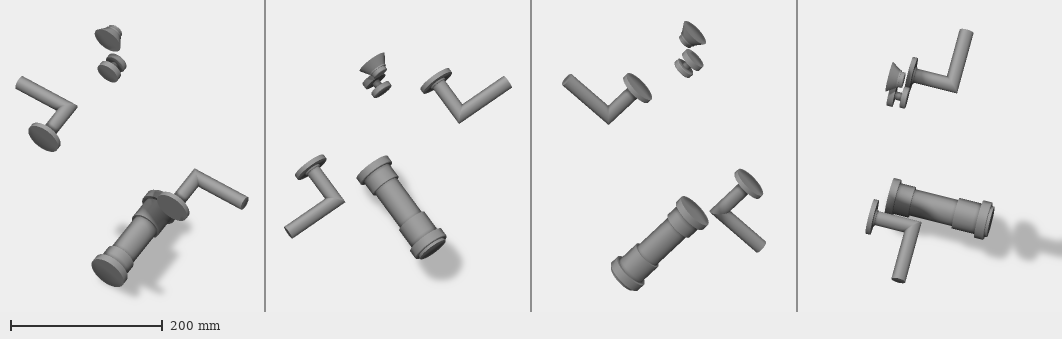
import cadquery as cq

INCH = 25.4

HANDLE_X = 4 * INCH
HANDLE_Z = 0.0
KNOB_Z = 12 * INCH
DIVERTER_Z = 9 * INCH
SPOUT_Z = -9 * INCH

LEVER_REACH = 7 * INCH
ROD_DIAMETER = 0.75 * INCH
ROD_AXIS_Y = 58.8
STEM_JOINT_Y = 44.0
ROSE_DIAMETER = 1.85 * INCH
ROSE_THICKNESS = 6.35
HANDLE_COLLAR_DIAMETER = 0.9 * INCH
HANDLE_COLLAR_END = 9.1

BEVEL = 0.8

SPOUT_FLANGE_DIAMETER = 2 * INCH
SPOUT_COLLAR_DIAMETER = 41.5
SPOUT_TUBE_DIAMETER = 1.4 * INCH
SPOUT_STEPS = [
    (SPOUT_FLANGE_DIAMETER, 10.4, 0, BEVEL),
    (SPOUT_COLLAR_DIAMETER, 31.5, 0, BEVEL),
    (SPOUT_TUBE_DIAMETER, 90.5, 0, 0),
    (SPOUT_COLLAR_DIAMETER, 122.0, 0, 0),
    (SPOUT_FLANGE_DIAMETER, 134.6, 0, BEVEL),
    (SPOUT_COLLAR_DIAMETER, 138.3, 0, 0),
]

DIVERTER_STEPS = [
    (1.25 * INCH, 8.0, 0, 0),
    (11.0, 17.2, 0, 0),
    (28.5, 24.7, BEVEL, BEVEL),
]

KNOB_DIAMETER = 1.6 * INCH
CONE_END_DIAMETER = 24.5
CONE_LENGTH = 12.2
BAND_END = 14.0
NECK_DIAMETER = 21.0
KNOB_LENGTH = 19.8


def revolve_about_y(profile):
    """Revolve (radius, y) points a full turn about the Y axis."""
    return cq.Workplane("XY").polyline(profile).close().revolve(360, (0, 0, 0), (0, 1, 0))


def stepped_turning(steps):
    """Turn coaxial cylinders, each running from the end of the one before it."""
    profile = [(0, 0)]
    start = 0
    for diameter, end, near_bevel, far_bevel in steps:
        radius = diameter / 2
        if near_bevel:
            profile.append((radius - near_bevel, start))
        profile.append((radius, start + near_bevel))
        profile.append((radius, end - far_bevel))
        if far_bevel:
            profile.append((radius - far_bevel, end))
        start = end
    profile.append((0, start))
    return revolve_about_y(profile)


def make_knob():
    """Cone that tapers to a narrow cylindrical band, with a thinner neck behind it."""
    profile = [
        (0, 0),
        (KNOB_DIAMETER / 2, 0),
        (CONE_END_DIAMETER / 2, CONE_LENGTH),
        (CONE_END_DIAMETER / 2, BAND_END),
        (NECK_DIAMETER / 2, BAND_END),
        (NECK_DIAMETER / 2, KNOB_LENGTH - BEVEL),
        (NECK_DIAMETER / 2 - BEVEL, KNOB_LENGTH),
        (0, KNOB_LENGTH),
    ]
    return revolve_about_y(profile)


def make_handle(side):
    """Lever handle whose arm points along X in the direction of side (-1 or +1)."""
    radius = ROD_DIAMETER / 2
    stem_top = ROD_AXIS_Y + radius
    stem_length = stem_top - STEM_JOINT_Y
    arm_length = LEVER_REACH - HANDLE_X

    base = stepped_turning([
        (ROSE_DIAMETER, ROSE_THICKNESS, 0, 0),
        (HANDLE_COLLAR_DIAMETER, HANDLE_COLLAR_END, 0, BEVEL),
        (ROD_DIAMETER, STEM_JOINT_Y, 0, 0),
    ])

    stem_side = (
        cq.Workplane("XY")
        .polyline([
            (-radius, STEM_JOINT_Y),
            (radius, STEM_JOINT_Y),
            (radius, ROD_AXIS_Y - radius),
            (-radius, stem_top),
        ])
        .close()
        .extrude(radius, both=True)
    )
    arm_side = (
        cq.Workplane("XY")
        .polyline([
            (-radius, stem_top),
            (radius, ROD_AXIS_Y - radius),
            (arm_length, ROD_AXIS_Y - radius),
            (arm_length, stem_top),
        ])
        .close()
        .extrude(radius, both=True)
    )
    stem = cq.Workplane("XZ", origin=(0, STEM_JOINT_Y, 0)).circle(radius).extrude(-stem_length)
    arm = (
        cq.Workplane("YZ", origin=(-radius, ROD_AXIS_Y, 0))
        .circle(radius)
        .extrude(arm_length + radius)
    )
    elbow = stem.intersect(stem_side).union(arm.intersect(arm_side))

    handle = base.union(elbow, clean=False)
    if side < 0:
        handle = handle.mirror("YZ")
    return handle.translate((side * HANDLE_X, 0, HANDLE_Z))


spout = stepped_turning(SPOUT_STEPS).translate((0, 0, SPOUT_Z))
diverter = stepped_turning(DIVERTER_STEPS).translate((0, 0, DIVERTER_Z))
knob = make_knob().translate((0, 0, KNOB_Z))
handles = [make_handle(side) for side in (-1, 1)]

result = cq.Compound.makeCompound([
    spout.val(),
    diverter.val(),
    knob.val(),
    *[handle.val() for handle in handles],
])